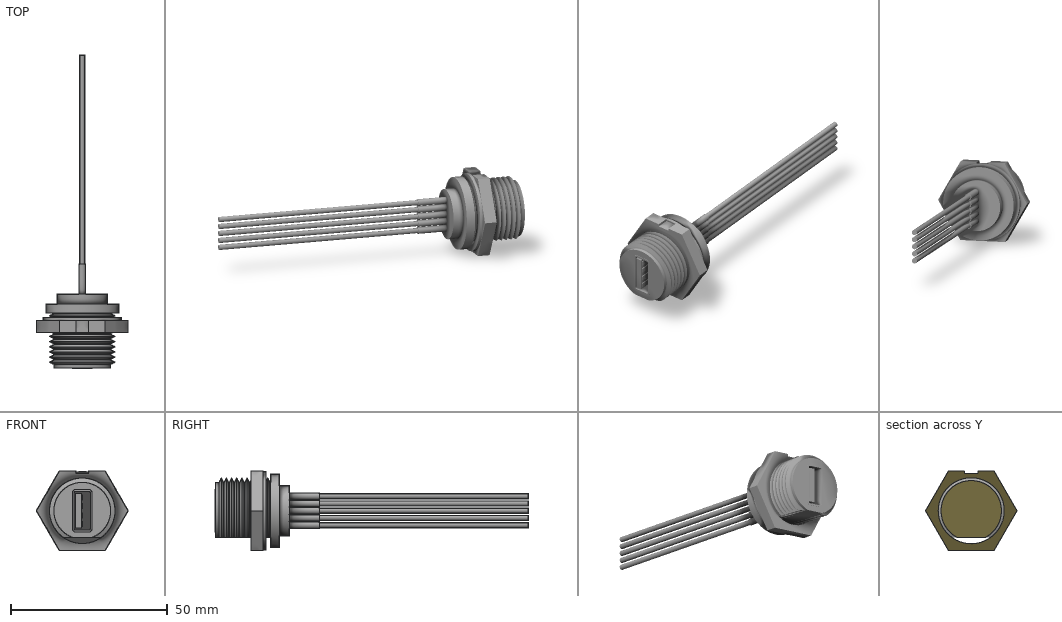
import cadquery as cq
import math


thread_major_radius = 10.45
thread_root_radius = 9.05
thread_pitch = 1.645
first_crest_y = 1.85
ridge_half_base = 0.7
ridge_count = 10
barrel_flat_z = -8.6
flange_front_y = 17.55
flange_thickness = 2.8
flange_radius = 11.65
boss_length = 3.25
boss_radius = 8.05
flange_rear_y = flange_front_y + flange_thickness
boss_rear_y = flange_rear_y + boss_length

nut_across_flats = 25.4
nut_corner_diameter = nut_across_flats / math.cos(math.radians(30))
nut_front_y = 11.3
nut_hex_thickness = 3.9
washer_thickness = 0.95
washer_radius = 12.5
notch_width = 4.0
notch_depth = 0.8
nut_rear_y = nut_front_y + nut_hex_thickness

cavity_width = 5.12
cavity_height = 12.4
cavity_depth = 9.0
shell_wall = 0.57
shell_corner_radius = 1.05
shell_protrusion = 0.1
cavity_corner_radius = shell_corner_radius - shell_wall
tongue_left_x = -2.2
tongue_thickness = 1.95
tongue_height = 11.1
contact_width = 1.5
contact_thickness = 0.3
contact_recess = 0.4
contact_inner_z = 1.5
contact_outer_z = 4.2
contact_centers_z = [-contact_outer_z, -contact_inner_z, contact_inner_z, contact_outer_z]

wire_count = 5
wire_spacing = 2.3
sleeve_radius = 1.08
sleeve_length = 9.55
wire_radius = 0.83
overall_length = 99.87
wire_end_y = overall_length - shell_protrusion


def block(x_min, x_max, y_min, y_max, z_min, z_max):
    """Axis-aligned box between the given limits."""
    size = (x_max - x_min, y_max - y_min, z_max - z_min)
    return cq.Workplane("XY").box(*size, centered=False).translate((x_min, y_min, z_min))


def disc(radius, y_min, y_max):
    """Cylinder about the Y axis."""
    return cq.Workplane("XZ", origin=(0, y_min, 0)).circle(radius).extrude(y_min - y_max)


def centered_block(width, height, y_min, y_max):
    """Box centred on the Y axis."""
    return block(-width / 2, width / 2, y_min, y_max, -height / 2, height / 2)


def make_barrel():
    """Barrel with ring-shaped thread ridges and a flat along its underside."""
    profile = cq.Workplane("XY").moveTo(0, 0).lineTo(thread_root_radius, 0)
    for index in range(ridge_count):
        crest_y = first_crest_y + index * thread_pitch
        profile = profile.lineTo(thread_root_radius, crest_y - ridge_half_base)
        profile = profile.lineTo(thread_major_radius, crest_y)
        profile = profile.lineTo(thread_root_radius, crest_y + ridge_half_base)
    profile = profile.lineTo(thread_root_radius, flange_front_y).lineTo(0, flange_front_y).close()
    barrel = profile.revolve(360, (0, 0, 0), (0, 1, 0))
    below_flat = block(
        -thread_major_radius, thread_major_radius,
        0, flange_front_y,
        -2 * thread_major_radius, barrel_flat_z,
    )
    return barrel.cut(below_flat)


def shell_envelope():
    """Outer shape of the receptacle shell, which fills the pocket in the housing."""
    width = cavity_width + 2 * shell_wall
    height = cavity_height + 2 * shell_wall
    envelope = centered_block(width, height, -shell_protrusion, cavity_depth + shell_wall)
    return envelope.edges("|Y").fillet(shell_corner_radius)


def make_housing():
    flange = disc(flange_radius, flange_front_y, flange_rear_y)
    boss = disc(boss_radius, flange_rear_y, boss_rear_y)
    return make_barrel().union(flange).union(boss).cut(shell_envelope())


def make_nut():
    """Nut bored to the thread's outer diameter, so the ridges just reach the bore."""
    hexagon = (
        cq.Workplane("XZ", origin=(0, nut_front_y, 0))
        .polygon(6, nut_corner_diameter)
        .extrude(-nut_hex_thickness)
    )
    notch_floor_z = nut_across_flats / 2 - notch_depth
    notch = block(
        -notch_width / 2, notch_width / 2,
        nut_front_y, nut_rear_y,
        notch_floor_z, nut_across_flats,
    )
    washer_rear_y = nut_rear_y + washer_thickness
    washer = disc(washer_radius, nut_rear_y, washer_rear_y)
    bore = disc(thread_major_radius, nut_front_y, washer_rear_y)
    return hexagon.cut(notch).union(washer).cut(bore)


def make_receptacle():
    cavity = centered_block(cavity_width, cavity_height, -shell_protrusion, cavity_depth)
    cavity = cavity.edges("|Y").fillet(cavity_corner_radius)
    receptacle = shell_envelope().cut(cavity)
    tongue_right_x = tongue_left_x + tongue_thickness
    tongue = block(
        tongue_left_x, tongue_right_x,
        0, cavity_depth,
        -tongue_height / 2, tongue_height / 2,
    )
    receptacle = receptacle.union(tongue)
    for center_z in contact_centers_z:
        contact = block(
            tongue_right_x, tongue_right_x + contact_thickness,
            contact_recess, cavity_depth,
            center_z - contact_width / 2, center_z + contact_width / 2,
        )
        receptacle = receptacle.union(contact)
    return receptacle


def make_wire(center_z):
    """Sleeved wire that starts on the rear face of the boss."""
    sleeve_end_y = boss_rear_y + sleeve_length
    sleeve = disc(sleeve_radius, boss_rear_y, sleeve_end_y)
    wire = disc(wire_radius, sleeve_end_y, wire_end_y)
    return sleeve.union(wire).translate((0, 0, center_z))


housing = make_housing()
nut = make_nut()
receptacle = make_receptacle()
wires = [make_wire((index - (wire_count - 1) / 2) * wire_spacing) for index in range(wire_count)]

result = cq.Compound.makeCompound(
    [housing.val(), nut.val(), receptacle.val(), *[wire.val() for wire in wires]]
)